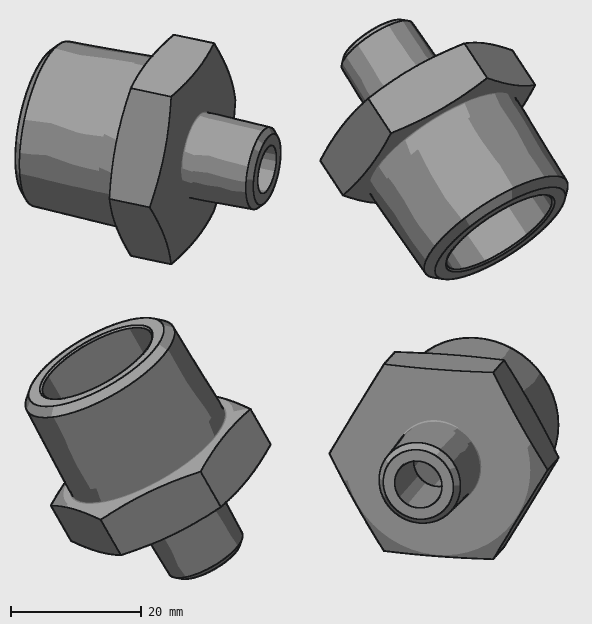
import cadquery as cq
import math

total_length = 37.0
hex_start = 17.2
hex_end = 25.4
large_taper_length = 14.5
small_taper_start = 27.35

hex_across_flats = 30.0
hex_across_corners = hex_across_flats / math.cos(math.pi / 6)
hex_face_diameter = 29.5
hex_bevel_angle = 16.0

large_diameter = 26.75
large_crest_diameter = 25.95
large_chamfer = 1.22

small_diameter = 13.4
small_crest_diameter = 12.9
small_chamfer = 0.9

root_fillet = 0.3

bore_diameter = 19.0
bore_lip_chamfer = 0.3
through_diameter = 7.5


def revolve_about_x(half_profile):
    """Turn a closed (x, radius) profile all the way round the X axis."""
    return half_profile.close().revolve(360, (0, 0, 0), (1, 0, 0))


def make_hexagon():
    """Hexagon with flats facing +Z and -Z, corners bevelled at both ends."""
    hex_length = hex_end - hex_start
    prism = (
        cq.Workplane("YZ", origin=(hex_start, 0, 0))
        .polygon(6, hex_across_corners)
        .extrude(hex_length)
    )
    face_radius = hex_face_diameter / 2
    outer_radius = hex_across_corners / 2
    bevel_depth = (outer_radius - face_radius) * math.tan(math.radians(hex_bevel_angle))
    bevel_envelope = revolve_about_x(
        cq.Workplane("XY")
        .moveTo(hex_start, 0)
        .lineTo(hex_start, face_radius)
        .lineTo(hex_start + bevel_depth, outer_radius)
        .lineTo(hex_end - bevel_depth, outer_radius)
        .lineTo(hex_end, face_radius)
        .lineTo(hex_end, 0)
    )
    return prism.intersect(bevel_envelope)


def make_spigot(end_x, taper_x, root_x, diameter, crest_diameter, chamfer):
    """Tapered spigot with a chamfered free end at end_x and a filleted root at root_x."""
    inward = math.copysign(1, root_x - end_x)
    radius = diameter / 2
    crest_radius = crest_diameter / 2
    fillet_mid_offset = root_fillet * (1 - math.sqrt(0.5))
    return revolve_about_x(
        cq.Workplane("XY")
        .moveTo(end_x, 0)
        .lineTo(end_x, crest_radius - chamfer)
        .lineTo(end_x + inward * chamfer, crest_radius)
        .lineTo(taper_x, radius)
        .lineTo(root_x - inward * root_fillet, radius)
        .threePointArc(
            (root_x - inward * fillet_mid_offset, radius + fillet_mid_offset),
            (root_x, radius + root_fillet),
        )
        .lineTo(root_x, 0)
    )


def make_bore():
    """Wide bore with a chamfered lip, narrowing to the through hole over the hexagon length."""
    bore_radius = bore_diameter / 2
    through_radius = through_diameter / 2
    return revolve_about_x(
        cq.Workplane("XY")
        .moveTo(0, 0)
        .lineTo(0, bore_radius + bore_lip_chamfer)
        .lineTo(bore_lip_chamfer, bore_radius)
        .lineTo(hex_start, bore_radius)
        .lineTo(hex_end, through_radius)
        .lineTo(total_length, through_radius)
        .lineTo(total_length, 0)
    )


large_spigot = make_spigot(
    0, large_taper_length, hex_start, large_diameter, large_crest_diameter, large_chamfer
)
small_spigot = make_spigot(
    total_length, small_taper_start, hex_end, small_diameter, small_crest_diameter, small_chamfer
)

result = make_hexagon().union(large_spigot).union(small_spigot).cut(make_bore())